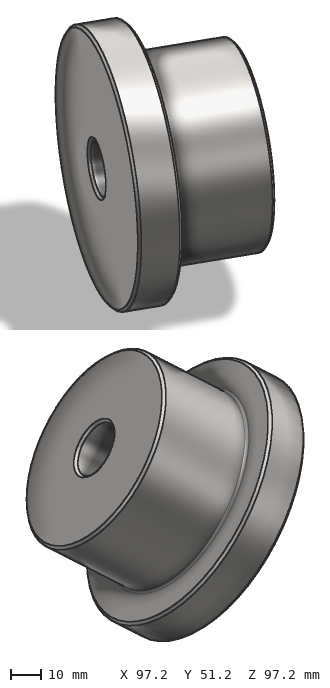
import cadquery as cq

flange_diameter = 97.2
boss_diameter = 73.0
bore_diameter = 19.4
total_length = 51.2
flange_thickness = 15.4
edge_chamfer = 1.0
root_fillet = 1.0

flange_radius = flange_diameter / 2
boss_radius = boss_diameter / 2
bore_radius = bore_diameter / 2


def flanged_bush():
    """Revolve the half section (radius along X) about the Y axis."""
    section = (
        cq.Workplane("XY")
        .moveTo(bore_radius + edge_chamfer, 0)
        .lineTo(flange_radius - edge_chamfer, 0)
        .lineTo(flange_radius, edge_chamfer)
        .lineTo(flange_radius, flange_thickness - edge_chamfer)
        .lineTo(flange_radius - edge_chamfer, flange_thickness)
        .lineTo(boss_radius + root_fillet, flange_thickness)
        .radiusArc((boss_radius, flange_thickness + root_fillet), root_fillet)
        .lineTo(boss_radius, total_length - edge_chamfer)
        .lineTo(boss_radius - edge_chamfer, total_length)
        .lineTo(bore_radius + edge_chamfer, total_length)
        .lineTo(bore_radius, total_length - edge_chamfer)
        .lineTo(bore_radius, edge_chamfer)
        .close()
    )
    return section.revolve(360, (0, 0, 0), (0, 1, 0))


result = flanged_bush()